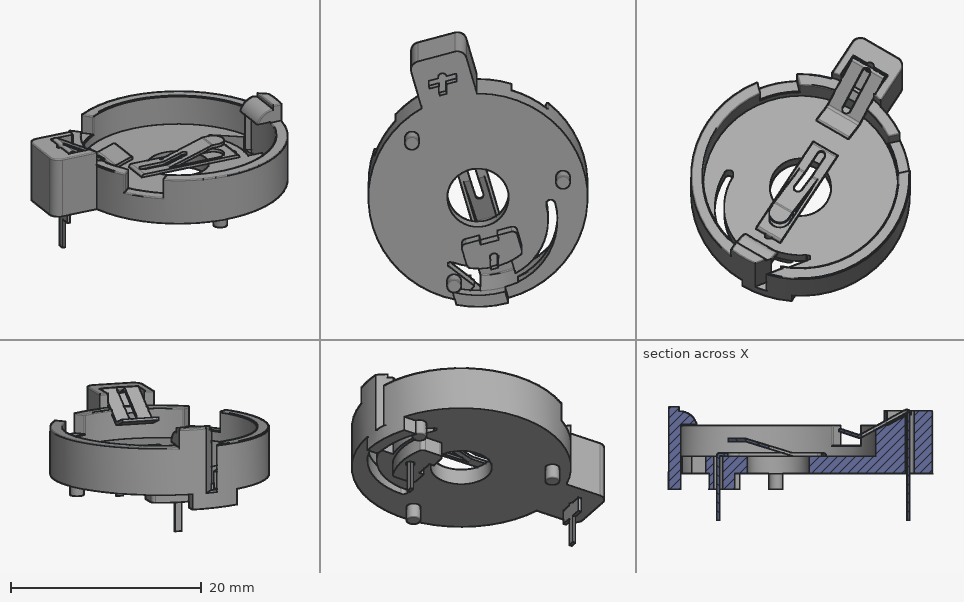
import cadquery as cq
import math

floor_top = 1.82
rim_top = 5.05
block_top = 6.58
latch_top = 7.0
foot_depth = 1.65
pin_end = -4.92
above_all = 11.05

outer_radius = 11.485
inner_radius = 10.2
edge_round = 0.1
centre_hole_diameter = 6.4

notch_width = 4.2
notch_bottom = 2.95
notch_shift = 0.15

block_width = 6.0
block_end = outer_radius - 27.65
block_corner_radius = 1.0

latch_left = -2.52
latch_right = 1.52
latch_step_height = 6.55
latch_step_y = 10.36
lip_bottom = 5.15
lip_tip_y = 8.5
gap_angle = 54.5
gap_width = 0.88
gap_corner = (-2.99, 9.23)
opening_inner_radius = 7.6
opening_tip = (-4.8, 6.27)
opening_tip_diameter = 0.5
slot_centre_y = 2.6
slot_radius = 7.13
slot_end_y = 2.75
slot_width = 0.97

skirt_left = -5.22
skirt_right = 0.08
post_diameter = 1.5
post_round = 0.08
post_places = [(-4.9, 8.15), (-4.9, -8.18), (9.18, 0.25)]
lug_front = 4.0
lug_back_radius = 7.27
lug_corner_radius = 0.5
lug_recess_width = 2.0
lug_recess_depth = 0.53

sheet = 0.33
pin_width = 0.75
pin_hole_diameter = 0.9

centre_width = 3.0
centre_back = 6.45
centre_front = -5.03
tongue_width = 2.27
tongue_root = -1.52
tongue_bend = 3.43
tongue_bend_radius = 0.55
tongue_end = 5.25
tongue_height = 3.68
centre_slot_width = 0.85
centre_slot_back = 0.97
centre_slot_front = -4.53

side_width = 3.98
side_slope = 0.55
side_leg_y = -13.8
side_leg_width = 2.99
side_hole_y = -13.76
side_valley = (-8.5, 4.04)
side_tip = (-6.35, 4.75)
side_valley_radius = 0.45
side_tip_radius = 0.17
side_slot_width = 0.9
side_slot_back = -8.7
side_slot_front = -13.5
pocket_width = 4.23
pocket_end = -13.93
ramp_step_back = -11.097
ramp_step_front = -11.43
pocket_floor = rim_top + side_slope * (ramp_step_front - side_leg_y - sheet)

centre_pin_y = centre_back - sheet / 2
slope_drop = sheet * math.hypot(1, side_slope)


def side_upper_face(y):
    """Height of the sloping upper face of the side contact."""
    return side_valley[1] + side_slope * (side_valley[0] - y)


def side_lower_face(y):
    return side_upper_face(y) - slope_drop


def box(x0, x1, y0, y1, z0, z1):
    return cq.Workplane("XY").box(x1 - x0, y1 - y0, z1 - z0, centered=False).translate((x0, y0, z0))


def cylinder(x, y, diameter, z0, z1):
    return cq.Workplane("XY", origin=(x, y, z0)).circle(diameter / 2).extrude(z1 - z0)


def side_profile(points, width):
    """Solid from a (y, z) outline, centred on x = 0."""
    return cq.Workplane("YZ").polyline(points).close().extrude(width / 2, both=True)


def slot(width, y0, y1, z0, z1):
    """Round-ended slot along Y on the centre line."""
    return (
        cq.Workplane("XY", origin=(0, (y0 + y1) / 2, z0))
        .slot2D(abs(y1 - y0), width, 90)
        .extrude(z1 - z0)
    )


def fillet_near(body, point, radius):
    """Round the edge closest to a point."""
    return body.edges(cq.selectors.NearestToPointSelector(point)).fillet(radius)


def ring_wall(z0, z1):
    return cylinder(0, 0, 2 * outer_radius, z0, z1).cut(cylinder(0, 0, 2 * inner_radius, z0, z1))


def rim_notch(angle, shift):
    length = 2 * (outer_radius - inner_radius)
    return (
        box(0, length, -notch_width / 2, notch_width / 2, notch_bottom, above_all)
        .translate((inner_radius - length / 4, shift, 0))
        .rotate((0, 0, 0), (0, 0, 1), angle)
    )


def is_notch_outline(edge):
    """True for notch edges that lie on the inner or outer face of the wall."""
    start = edge.startPoint()
    end = edge.endPoint()
    follows_wall = abs(math.hypot(start.x, start.y) - math.hypot(end.x, end.y)) < 0.003
    height = edge.Center().z
    return follows_wall and start.y < 0 and notch_bottom - 0.003 < height < rim_top - 0.003


def latch_gap():
    """Slanted slot that frees the left side of the latch from the wall."""
    length = 4.15
    return (
        box(0, length, 0, gap_width, 0, above_all)
        .rotate((0, 0, 0), (0, 0, 1), gap_angle)
        .translate((gap_corner[0], gap_corner[1], 0))
    )


def gap_wall_crossing(radius):
    """Point where the latch side of the gap crosses a circle about the cup's axis."""
    along_x = math.cos(math.radians(gap_angle))
    along_y = math.sin(math.radians(gap_angle))
    offset = gap_corner[0] * along_x + gap_corner[1] * along_y
    distance = math.sqrt(radius ** 2 - math.hypot(*gap_corner) ** 2 + offset ** 2) - offset
    return gap_corner[0] + distance * along_x, gap_corner[1] + distance * along_y


def cup():
    body = cylinder(0, 0, 2 * outer_radius, 0, rim_top)
    body = body.cut(cylinder(0, 0, 2 * inner_radius, floor_top, rim_top))
    body = body.cut(rim_notch(225, notch_shift)).cut(rim_notch(315, -notch_shift)).cut(latch_gap())
    rim_edges = body.faces(">Z").edges()
    notch_edges = body.edges().filter(is_notch_outline)
    return rim_edges.add(notch_edges).fillet(edge_round)


def contact_block():
    block = box(-block_width / 2, block_width / 2, block_end, 0, 0, block_top)
    block = block.edges("|Z and <Y").fillet(block_corner_radius)
    middle_radius = (inner_radius + outer_radius) / 2
    block = block.cut(cylinder(0, 0, 2 * middle_radius, 0, rim_top))
    block = block.cut(cylinder(0, 0, 2 * outer_radius, rim_top, block_top))
    return block.faces(">Z").edges().fillet(edge_round)


def latch():
    """Tall piece of the wall with an inward lip."""
    arm = ring_wall(0, lip_bottom).intersect(
        box(latch_left, latch_right, 0, outer_radius, 0, above_all)
    )
    lip_rise = latch_step_height - lip_bottom
    lip_reach = latch_step_y - lip_tip_y
    lip_radius = (lip_rise ** 2 + lip_reach ** 2) / (2 * lip_rise)
    head = (
        cq.Workplane("YZ", origin=(latch_left, 0, 0))
        .moveTo(outer_radius, lip_bottom)
        .lineTo(outer_radius, latch_top)
        .lineTo(latch_step_y, latch_top)
        .lineTo(latch_step_y, latch_step_height)
        .radiusArc((lip_tip_y, lip_bottom), -lip_radius)
        .close()
        .extrude(latch_right - latch_left)
    )
    head = head.edges("%CIRCLE").fillet(edge_round)
    head = head.intersect(cylinder(0, 0, 2 * outer_radius, 0, above_all)).cut(latch_gap())
    head = head.faces(">Z").edges().fillet(edge_round)
    body = head.union(arm.cut(latch_gap()))
    outer_corner = gap_wall_crossing(outer_radius)
    return fillet_near(body, (*outer_corner, rim_top), edge_round)


def skirt():
    """Piece of the wall carried down below the floor under the latch."""
    piece = box(skirt_left, skirt_right, 0, outer_radius, -foot_depth, floor_top)
    return ring_wall(-foot_depth, floor_top).intersect(piece).cut(latch_gap())


def posts():
    solid = cq.Workplane("XY", origin=(0, 0, -foot_depth)).pushPoints(post_places)
    return solid.circle(post_diameter / 2).extrude(foot_depth).faces("<Z").edges().fillet(post_round)


def lug():
    body = box(-block_width / 2, block_width / 2, lug_front, outer_radius, -foot_depth, 0)
    body = body.intersect(cylinder(0, 0, 2 * lug_back_radius, -foot_depth, 0))
    body = body.edges("|Z").fillet(lug_corner_radius)
    half_recess = lug_recess_width / 2
    return body.cut(
        box(-half_recess, half_recess, lug_front, lug_front + lug_recess_depth, -foot_depth, 0)
    )


def latch_opening():
    """Floor opening between the slanted gap line and the right side of the latch."""
    along_x = math.cos(math.radians(gap_angle))
    along_y = math.sin(math.radians(gap_angle))
    tip_x, tip_y = opening_tip
    reach = opening_tip_diameter / 2
    tip_length = (gap_corner[0] - tip_x) * along_x + (gap_corner[1] - tip_y) * along_y
    start = (gap_corner[0] - tip_length * along_x, gap_corner[1] - tip_length * along_y)
    outer_length = inner_radius / 2
    end = (gap_corner[0] + outer_length * along_x, gap_corner[1] + outer_length * along_y)
    tip_inner = (tip_x + reach * along_y, tip_y - reach * along_x)
    wedge = (
        cq.Workplane("XY")
        .polyline([start, end, (latch_right, end[1]), (latch_right, tip_inner[1]), tip_inner])
        .close()
        .extrude(floor_top)
    )
    band = cq.Workplane("XY").circle(inner_radius).circle(opening_inner_radius).extrude(floor_top)
    return wedge.intersect(band).union(cylinder(tip_x, tip_y, opening_tip_diameter, 0, floor_top))


def curved_slot():
    """Arc slot that starts at the latch opening and ends round near the +X side."""
    ring = (
        cq.Workplane("XY", origin=(0, slot_centre_y, 0))
        .circle(slot_radius + slot_width / 2)
        .circle(slot_radius - slot_width / 2)
        .extrude(floor_top)
    )
    band = ring.intersect(box(latch_right, outer_radius, slot_end_y, outer_radius, 0, floor_top))
    return band.union(cylinder(slot_radius, slot_end_y, slot_width, 0, floor_top))


def side_contact_recess():
    """Ramped notch through the wall, continued by a wider pocket in the block."""
    wall_back = -inner_radius + 0.55
    notch = side_profile(
        [
            (wall_back, rim_top - side_slope * (wall_back - ramp_step_back)),
            (ramp_step_back, rim_top),
            (ramp_step_front, rim_top),
            (ramp_step_front, above_all),
            (wall_back, above_all),
        ],
        side_width,
    )
    leg_back = side_leg_y + sheet
    pocket = side_profile(
        [
            (ramp_step_front, rim_top),
            (leg_back, pocket_floor),
            (pocket_end, pocket_floor),
            (pocket_end, above_all),
            (ramp_step_front, above_all),
        ],
        pocket_width,
    )
    leg_slot = box(-side_leg_width / 2, side_leg_width / 2, side_leg_y, leg_back, 0, pocket_floor)
    return notch.union(pocket).union(leg_slot)


def make_housing():
    body = cup().union(contact_block()).cut(latch_opening()).cut(curved_slot())
    for part in (latch(), skirt(), lug(), posts()):
        body = body.union(part)
    body = body.cut(cylinder(0, 0, centre_hole_diameter, 0, floor_top))
    body = body.cut(side_contact_recess())
    for y in (centre_pin_y, side_hole_y):
        body = body.cut(cylinder(0, y, pin_hole_diameter, -foot_depth, above_all))
    return body.clean()


def make_centre_contact():
    top = floor_top + sheet
    half = centre_width / 2
    strip = box(-half, half, centre_front, centre_back, floor_top, top)
    strip = strip.edges("|X and >Z").fillet(sheet * 0.95)
    window = box(-tongue_width / 2, tongue_width / 2, tongue_root, tongue_end, floor_top, top)
    window = window.edges("|Z and >Y").fillet(tongue_width * 0.499)
    strip = strip.cut(window)
    tongue = side_profile(
        [
            (tongue_root, top),
            (tongue_bend, tongue_height),
            (tongue_end, tongue_height),
            (tongue_end, tongue_height - sheet),
            (tongue_bend, tongue_height - sheet),
            (tongue_root, floor_top),
        ],
        tongue_width,
    )
    tongue = fillet_near(tongue, (0, tongue_bend, tongue_height), tongue_bend_radius)
    tongue = tongue.edges("|Z and >Y").fillet(tongue_width * 0.499)
    pin = box(-pin_width / 2, pin_width / 2, centre_back - sheet, centre_back, pin_end, floor_top)
    body = strip.union(tongue).union(pin)
    body = fillet_near(body, (0, tongue_root, top), tongue_bend_radius)
    return body.cut(slot(centre_slot_width, centre_slot_front, centre_slot_back, 0, above_all))


def make_side_contact():
    tip_slope = (side_tip[1] - side_valley[1]) / (side_tip[0] - side_valley[0])
    tip_drop = sheet * math.hypot(1, tip_slope)
    valley_y, valley_z = side_valley
    low_y = valley_y + (tip_drop - slope_drop) / (tip_slope + side_slope)
    leg_back = side_leg_y + sheet
    strip = side_profile(
        [
            side_tip,
            side_valley,
            (side_leg_y, side_upper_face(side_leg_y)),
            (side_leg_y, pocket_floor),
            (leg_back, pocket_floor),
            (leg_back, side_lower_face(leg_back)),
            (low_y, side_lower_face(low_y)),
            (side_tip[0], side_tip[1] - tip_drop),
        ],
        side_width,
    )
    strip = fillet_near(strip, (0, side_leg_y, side_upper_face(side_leg_y)), sheet)
    strip = fillet_near(strip, (0, valley_y, valley_z), side_valley_radius)
    strip = fillet_near(strip, (0, *side_tip), side_tip_radius)
    strip = strip.cut(slot(side_slot_width, side_slot_front, side_slot_back, 0, above_all))
    leg = box(-side_leg_width / 2, side_leg_width / 2, side_leg_y, leg_back, -foot_depth, pocket_floor)
    pin = box(-pin_width / 2, pin_width / 2, side_leg_y, leg_back, pin_end, -foot_depth)
    return strip.union(leg).union(pin)


housing = make_housing()
centre_contact = make_centre_contact()
side_contact = make_side_contact()
result = cq.Compound.makeCompound([housing.val(), centre_contact.val(), side_contact.val()])